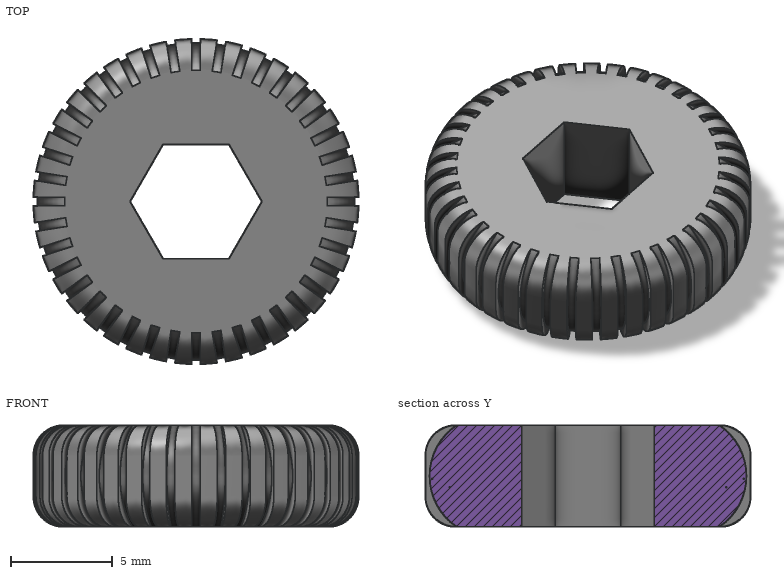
import cadquery as cq
import math

outer_diameter = 15.99
thickness = 5.0
rim_fillet = 1.5

hex_across_flats = 5.6

groove_count = 40
groove_width = 0.43
groove_depth = 0.2
groove_floor_arc_radius = 3.0

outer_radius = outer_diameter / 2
half_thickness = thickness / 2
groove_floor_radius = outer_radius - groove_depth
cutter_reach = outer_radius + groove_depth


def wheel_body():
    """Disc with both rims rounded, centred on the origin."""
    disc = cq.Workplane("XY").cylinder(thickness, outer_radius)
    return disc.edges("%CIRCLE").fillet(rim_fillet)


def hex_bore():
    """Hexagonal prism through the whole thickness."""
    across_corners = hex_across_flats / math.cos(math.pi / 6)
    return (
        cq.Workplane("XY")
        .polygon(6, across_corners)
        .extrude(half_thickness, both=True)
    )


def groove_cutter():
    """Parallel-sided cutter along +X whose floor is a single arc bulging outwards."""
    floor_centre = groove_floor_radius - groove_floor_arc_radius
    floor_end = floor_centre + math.sqrt(groove_floor_arc_radius**2 - half_thickness**2)
    return (
        cq.Workplane("XZ")
        .moveTo(floor_end, -half_thickness)
        .threePointArc((groove_floor_radius, 0), (floor_end, half_thickness))
        .lineTo(cutter_reach, half_thickness)
        .lineTo(cutter_reach, -half_thickness)
        .close()
        .extrude(groove_width / 2, both=True)
    )


result = wheel_body().cut(hex_bore())

cutter = groove_cutter()
groove_pitch = 360 / groove_count
for index in range(groove_count):
    result = result.cut(cutter.rotate((0, 0, 0), (0, 0, 1), index * groove_pitch))